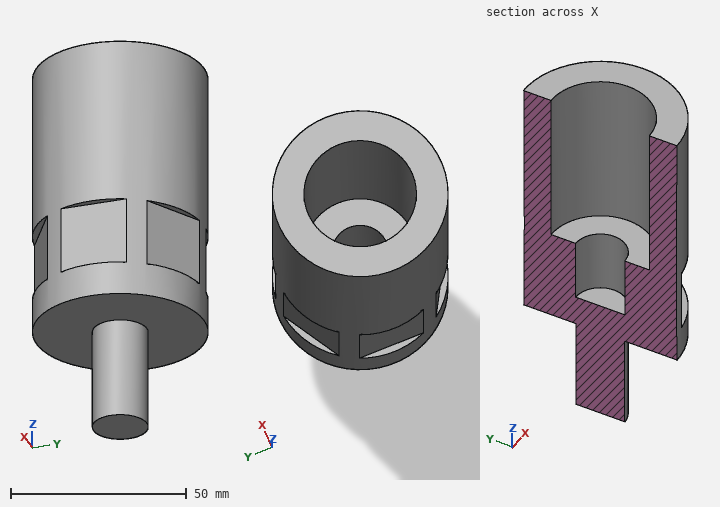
import cadquery as cq

total_height = 110.0
body_diameter = 50.0

stem_diameter = 16.0
stem_length = 30.0
collar_height = 10.0

flat_count = 6
across_flats = 46.0
flat_height = 20.0

bore_diameter = 32.0
pilot_diameter = stem_diameter

flats_bottom = stem_length + collar_height
flats_top = flats_bottom + flat_height


def cylinder(diameter, bottom, top):
    """Cylinder on the Z axis between two levels."""
    return cq.Workplane("XY").workplane(offset=bottom).circle(diameter / 2).extrude(top - bottom)


def flat_cutter(angle):
    """Block that removes the material outside one wrench flat."""
    return (
        cq.Workplane("XY")
        .box(body_diameter, body_diameter, flat_height, centered=(False, True, False))
        .translate((across_flats / 2, 0, flats_bottom))
        .rotate((0, 0, 0), (0, 0, 1), angle)
    )


result = cylinder(body_diameter, stem_length, total_height)
result = result.union(cylinder(stem_diameter, 0, stem_length))

for index in range(flat_count):
    result = result.cut(flat_cutter(index * 360 / flat_count))

result = result.cut(cylinder(bore_diameter, flats_top, total_height))
result = result.cut(cylinder(pilot_diameter, flats_bottom, flats_top))